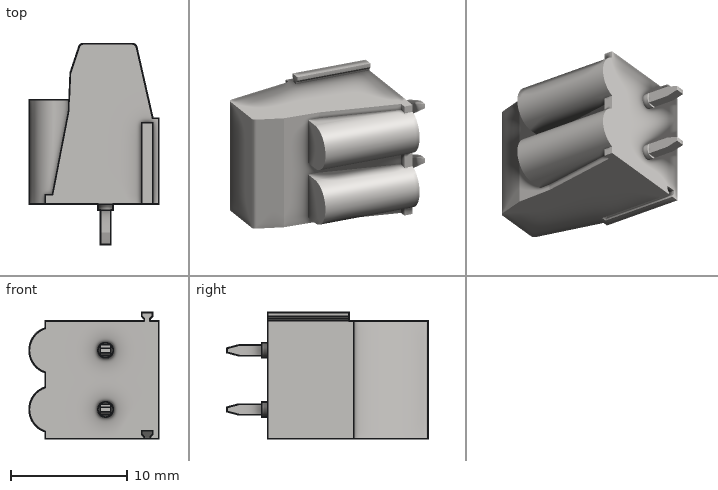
import cadquery as cq


pole_pitch = 5.09
pole_count = 2
housing_height = pole_count * pole_pitch
housing_right = 11.15
overall_length = 17.3
overall_height = 10.9
housing_length = 13.8
tip_rounding = 0.4

barrel_radius = 2.0
barrel_length = 9.0
barrel_inner_x = 5.19

lip_left = 1.37
lip_length = 0.8

flank_bend_x = 3.39
flank_bend_y = 7.98
shoulder_x = 3.53
shoulder_y = 11.26

tip_left = 4.38
tip_right = 9.19
step_x = 10.64
step_y = 7.4

rib_center_x = 10.15
rib_width = 0.95
rib_neck_width = 0.52
rib_height = overall_height - housing_height
rib_neck_height = 0.17
rib_flare_height = 0.22
rib_length = 7.0

pin_x = 6.57
collar_diameter = 1.31
collar_length = 0.52
pin_reach = overall_length - housing_length
pin_width = 0.9
pin_height = 0.93
pin_tip_height = 0.38
pin_taper_length = 1.04

pole_heights = [(index + 0.5) * pole_pitch for index in range(pole_count)]


def housing():
    """Tapered body, the same outline over its full height, with a rounded tip."""
    outline = [
        (lip_left, 0),
        (lip_left, lip_length),
        (barrel_radius, lip_length),
        (flank_bend_x, flank_bend_y),
        (shoulder_x, shoulder_y),
        (tip_left, housing_length),
        (tip_right, housing_length),
        (step_x, step_y),
        (housing_right, step_y),
        (housing_right, 0),
    ]
    body = cq.Workplane("XY").polyline(outline).close().extrude(housing_height)
    return body.edges("|Z and >Y").fillet(tip_rounding)


def barrel(height):
    """Half-round barrel whose flat sides run on into the housing."""
    return (
        cq.Workplane("XZ")
        .moveTo(barrel_inner_x, height - barrel_radius)
        .lineTo(barrel_radius, height - barrel_radius)
        .threePointArc((0, height), (barrel_radius, height + barrel_radius))
        .lineTo(barrel_inner_x, height + barrel_radius)
        .close()
        .extrude(-barrel_length)
    )


def rib(base_height):
    """Flared rail standing on base_height; also the shape of the groove."""
    flare_bottom = base_height + rib_neck_height
    flare_top = flare_bottom + rib_flare_height
    top = base_height + rib_height
    neck_half = rib_neck_width / 2
    half = rib_width / 2
    outline = [
        (rib_center_x - neck_half, base_height),
        (rib_center_x - neck_half, flare_bottom),
        (rib_center_x - half, flare_top),
        (rib_center_x - half, top),
        (rib_center_x + half, top),
        (rib_center_x + half, flare_top),
        (rib_center_x + neck_half, flare_bottom),
        (rib_center_x + neck_half, base_height),
    ]
    return cq.Workplane("XZ").polyline(outline).close().extrude(-rib_length)


def pin(height):
    """Round collar and a rectangular pin that thins towards its end."""
    collar = cq.Workplane("XZ").center(pin_x, height).circle(collar_diameter / 2).extrude(collar_length)
    taper_start = pin_taper_length - pin_reach
    side_outline = [
        (0, height - pin_height / 2),
        (taper_start, height - pin_height / 2),
        (-pin_reach, height - pin_tip_height / 2),
        (-pin_reach, height + pin_tip_height / 2),
        (taper_start, height + pin_height / 2),
        (0, height + pin_height / 2),
    ]
    blade = (
        cq.Workplane("YZ", origin=(pin_x, 0, 0))
        .polyline(side_outline)
        .close()
        .extrude(pin_width / 2, both=True)
    )
    return collar.union(blade)


result = housing().union(rib(housing_height)).cut(rib(0))
for pole_height in pole_heights:
    result = result.union(barrel(pole_height)).union(pin(pole_height))